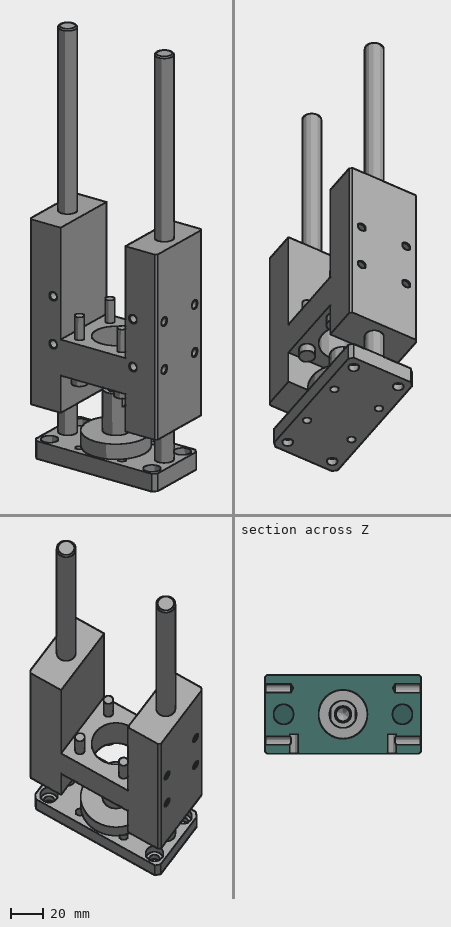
import cadquery as cq

TOTAL_HEIGHT = 287.0

HOUSING_WIDTH = 97.0
HOUSING_DEPTH = 49.0
HOUSING_BOTTOM = 36.5
HOUSING_HEIGHT = 125.5
HOUSING_CHAMFER = 1.5
LEG_GAP = 49.5
WEB_BOTTOM = 61.7
WEB_THICKNESS = 24.5
WEB_TOP = WEB_BOTTOM + WEB_THICKNESS
BORE_DIAMETER = 30.0

SCREW_PITCH = 32.5
SCREW_DIAMETER = 6.0
SCREW_TOP = 101.5
SCREW_HEAD_DIAMETER = 10.0
SCREW_HEAD_HEIGHT = 6.0

TAP_DIAMETER = 5.2
TAP_MOUTH_DIAMETER = 6.0
TAP_TIP_DEPTH = 1.5
TAP_PITCH = SCREW_PITCH
TAP_LOWER_HEIGHT = 81.5
TAP_HEIGHTS = (TAP_LOWER_HEIGHT, TAP_LOWER_HEIGHT + TAP_PITCH)
FRONT_TAP_SPACING = 60.8
FRONT_TAP_DEPTH = 12.0
SIDE_TAP_DEPTH = 16.0

ROD_DIAMETER = 12.0
ROD_SPACING = 73.8
ROD_CHAMFER = 1.0

PLATE_WIDTH = 93.0
PLATE_DEPTH = 46.5
PLATE_THICKNESS = 12.0
PLATE_CHAMFER = 2.5
PLATE_HOLE_DIAMETER = 6.5
COUNTERBORE_DIAMETER = 11.0
COUNTERBORE_DEPTH = 7.0
COUNTERBORE_SPACING = 78.0
INNER_HOLE_DIAMETER = TAP_DIAMETER

FLANGE_DIAMETER = 44.0
FLANGE_TOP = 22.5
SPIGOT_DIAMETER = 17.0
SPIGOT_TOP = 50.5
FLAT_BOTTOM = 41.3
FLAT_WIDTH = 15.0
SOCKET_DIAMETER = 8.5
SOCKET_MOUTH_DIAMETER = 10.3
SOCKET_DEPTH = 14.4
SOCKET_TIP_DEPTH = 2.5

ROD_POINTS = [(-ROD_SPACING / 2, 0), (ROD_SPACING / 2, 0)]


def cylinder(diameter, bottom, top, points):
    """Upright cylinders from one height to another at the given XY points."""
    return (
        cq.Workplane("XY", origin=(0, 0, bottom))
        .pushPoints(points)
        .circle(diameter / 2)
        .extrude(top - bottom)
    )


def grid(x_spacing, y_spacing):
    """Corner points of a rectangle centred on the Z axis."""
    return [(x * x_spacing / 2, y * y_spacing / 2) for x in (-1, 1) for y in (-1, 1)]


def hole_cutter(mouth, direction, core_diameter, mouth_diameter, depth, tip_depth=0):
    """Cutter for a blind hole with a 45 degree mouth chamfer and an optional conical tip."""
    start = cq.Vector(mouth)
    inward = cq.Vector(direction)
    lead_in = (mouth_diameter - core_diameter) / 2
    cutter = cq.Solid.makeCylinder(core_diameter / 2, depth, start, inward)
    cutter = cutter.fuse(
        cq.Solid.makeCone(mouth_diameter / 2, core_diameter / 2, lead_in, start, inward)
    )
    if tip_depth:
        tip_start = start + inward * depth
        cutter = cutter.fuse(cq.Solid.makeCone(core_diameter / 2, 0, tip_depth, tip_start, inward))
    return cutter


def housing_block():
    """H-shaped block: two legs joined by a web with a central bore."""
    block = (
        cq.Workplane("XY", origin=(0, 0, HOUSING_BOTTOM))
        .rect(HOUSING_WIDTH, HOUSING_DEPTH)
        .extrude(HOUSING_HEIGHT)
        .edges("|Z")
        .chamfer(HOUSING_CHAMFER)
    )
    housing_top = HOUSING_BOTTOM + HOUSING_HEIGHT
    for bottom, top in ((HOUSING_BOTTOM, WEB_BOTTOM), (WEB_TOP, housing_top)):
        gap = (
            cq.Workplane("XY", origin=(0, 0, bottom))
            .rect(LEG_GAP, HOUSING_DEPTH)
            .extrude(top - bottom)
        )
        block = block.cut(gap)
    block = block.cut(cylinder(BORE_DIAMETER, WEB_BOTTOM, WEB_TOP, [(0, 0)]))
    return block.cut(cylinder(ROD_DIAMETER, HOUSING_BOTTOM, housing_top, ROD_POINTS))


def cut_tapped_holes(block):
    """Tapped holes in the -Y face and in both outer X faces of the legs."""
    for height in TAP_HEIGHTS:
        for side in (-1, 1):
            front_mouth = (side * FRONT_TAP_SPACING / 2, -HOUSING_DEPTH / 2, height)
            block = block.cut(
                hole_cutter(front_mouth, (0, 1, 0), TAP_DIAMETER, TAP_MOUTH_DIAMETER, FRONT_TAP_DEPTH)
            )
            for y in (-TAP_PITCH / 2, TAP_PITCH / 2):
                side_mouth = (side * HOUSING_WIDTH / 2, y, height)
                block = block.cut(
                    hole_cutter(
                        side_mouth,
                        (-side, 0, 0),
                        TAP_DIAMETER,
                        TAP_MOUTH_DIAMETER,
                        SIDE_TAP_DEPTH,
                        TAP_TIP_DEPTH,
                    )
                )
    return block


def make_housing():
    """Housing with its four web screws."""
    screw_points = grid(SCREW_PITCH, SCREW_PITCH)
    shanks = cylinder(SCREW_DIAMETER, WEB_BOTTOM, SCREW_TOP, screw_points)
    heads = cylinder(SCREW_HEAD_DIAMETER, WEB_BOTTOM - SCREW_HEAD_HEIGHT, WEB_BOTTOM, screw_points)
    return cut_tapped_holes(housing_block()).union(shanks).union(heads)


def base_plate():
    """Rectangular plate with counterbored corner holes and four plain inner holes."""
    plate = (
        cq.Workplane("XY")
        .rect(PLATE_WIDTH, PLATE_DEPTH)
        .extrude(PLATE_THICKNESS)
        .edges("|Z")
        .chamfer(PLATE_CHAMFER)
    )
    corners = grid(COUNTERBORE_SPACING, SCREW_PITCH)
    inner_points = grid(SCREW_PITCH, SCREW_PITCH)
    counterbore_floor = PLATE_THICKNESS - COUNTERBORE_DEPTH
    plate = plate.cut(cylinder(INNER_HOLE_DIAMETER, 0, PLATE_THICKNESS, inner_points))
    plate = plate.cut(cylinder(PLATE_HOLE_DIAMETER, 0, PLATE_THICKNESS, corners))
    return plate.cut(cylinder(COUNTERBORE_DIAMETER, counterbore_floor, PLATE_THICKNESS, corners))


def flanged_spigot():
    """Round flange carrying a spigot with two wrench flats and a tapped socket."""
    flange = cylinder(FLANGE_DIAMETER, PLATE_THICKNESS, FLANGE_TOP, [(0, 0)])
    base = cylinder(SPIGOT_DIAMETER, FLANGE_TOP, FLAT_BOTTOM, [(0, 0)])
    flats = (
        cq.Workplane("XY", origin=(0, 0, FLAT_BOTTOM))
        .rect(FLAT_WIDTH, SPIGOT_DIAMETER)
        .extrude(SPIGOT_TOP - FLAT_BOTTOM)
    )
    end = cylinder(SPIGOT_DIAMETER, FLAT_BOTTOM, SPIGOT_TOP, [(0, 0)]).intersect(flats)
    socket = hole_cutter(
        (0, 0, SPIGOT_TOP),
        (0, 0, -1),
        SOCKET_DIAMETER,
        SOCKET_MOUTH_DIAMETER,
        SOCKET_DEPTH,
        SOCKET_TIP_DEPTH,
    )
    return flange.union(base).union(end).cut(socket)


def make_slide():
    """Base plate with its flanged spigot and two guide rods."""
    rods = cylinder(ROD_DIAMETER, PLATE_THICKNESS, TOTAL_HEIGHT, ROD_POINTS)
    rods = rods.faces(">Z").chamfer(ROD_CHAMFER)
    return base_plate().union(flanged_spigot()).union(rods)


housing = make_housing()
slide = make_slide()
result = cq.Compound.makeCompound([housing.val(), slide.val()])